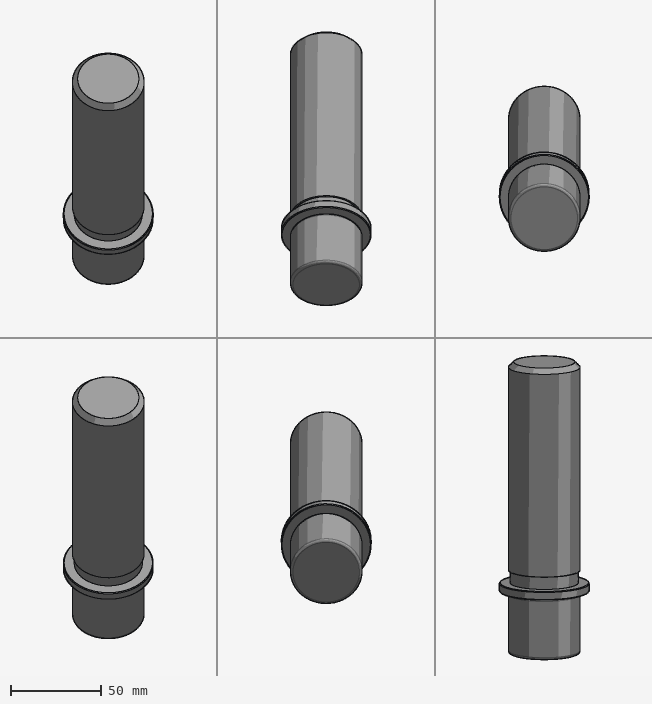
import cadquery as cq

total_height = 165.0
body_diameter = 40.0
flange_diameter = 50.0
neck_diameter = 38.0

spigot_top = 34.8
flange_bottom = 35.0
flange_top = 40.0
neck_top = 47.0

tip_chamfer = 3.0
spigot_radius = 1.5
flange_edge = 0.5


def cylinder(diameter, bottom, top):
    """Upright cylinder on the Z axis between two heights."""
    return cq.Workplane("XY").workplane(offset=bottom).circle(diameter / 2).extrude(top - bottom)


spigot = cylinder(body_diameter, 0, spigot_top)
spigot = spigot.faces("<Z or >Z").edges().fillet(spigot_radius)

neck = cylinder(neck_diameter, spigot_top - spigot_radius, neck_top)

flange = cylinder(flange_diameter, flange_bottom, flange_top)
flange = flange.faces("<Z or >Z").chamfer(flange_edge)

shaft = cylinder(body_diameter, neck_top, total_height)
shaft = shaft.faces(">Z").chamfer(tip_chamfer)

result = spigot.union(neck).union(flange).union(shaft)